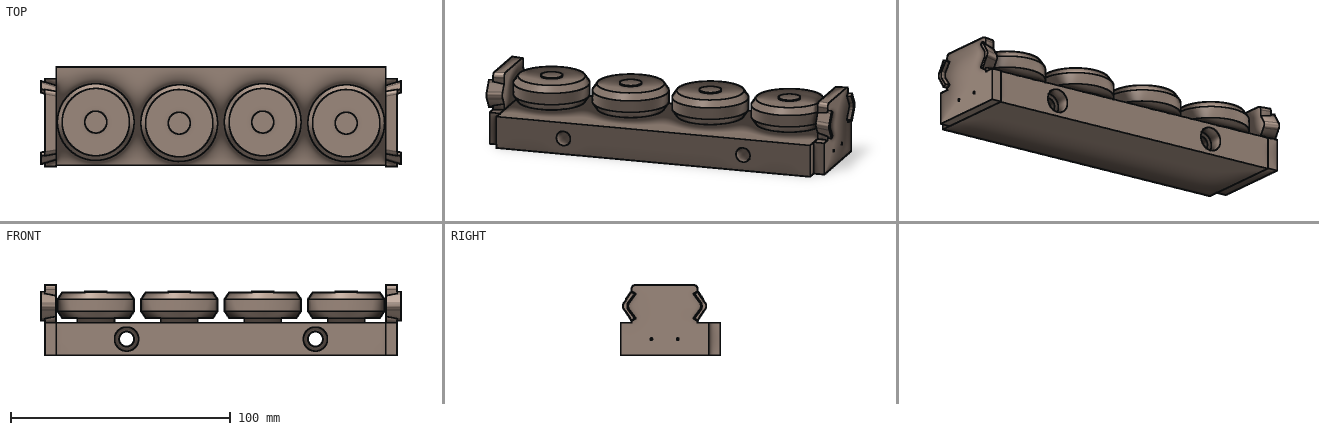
import cadquery as cq
import math

total_length = 164.0
total_height = 32.1

block_length = 150.0
block_height = 15.0
block_front_y = -19.5
block_back_y = 25.5
screw_hole_spacing = 86.0
screw_hole_diameter = 6.7
screw_head_diameter = 11.0
screw_head_depth = 7.0

wheel_count = 4
wheel_row_length = 114.0
wheel_pitch = wheel_row_length / (wheel_count - 1)
wheel_radius = 35.0 / 2
wheel_chamfer = 2.1
wheel_edge_rise = 3.1
wheel_bottom = 17.0
wheel_top = 28.7
hub_radius = 17.0 / 2
axle_radius = 10.0 / 2
axle_top = 29.2
eccentric_offset = 0.25

cap_thickness = 5.1
cap_width = 40.0
tab_half_width = 15.1
tab_corner_radius = 2.0
tab_side_angle = 10.0
pin_hole_diameter = 1.0
pin_hole_spacing = 12.0

lip_mid_height = 22.5
lip_angle = 17.0
lip_outer_apex = (19.0, 0.0)
lip_outer_bend = (18.4, 1.6)
lip_outer_corner = (15.7, 5.5)
lip_peak = (15.3, 6.5)
lip_inner_corner = (13.6, 5.5)
lip_inner_bend = (16.7, 1.5)
lip_inner_apex = (17.0, 0.0)

cap_inner_x = block_length / 2
cap_outer_x = cap_inner_x + cap_thickness
lip_outer_x = total_length / 2
lip_length = lip_outer_x - cap_inner_x


def make_block():
    block = cq.Workplane("XY").box(
        block_length, block_back_y - block_front_y, block_height, centered=(True, False, False)
    ).translate((0, block_front_y, 0))
    return (
        block.faces("<Y").workplane(origin=(0, block_front_y, block_height / 2))
        .rarray(screw_hole_spacing, 1.6, 2, 1)
        .cboreHole(screw_hole_diameter, screw_head_diameter, screw_head_depth)
    )


def make_wheel(x, y):
    """Hub, double-chamfered wheel and axle end, revolved about the vertical axis."""
    profile = [
        (0, block_height),
        (hub_radius, block_height),
        (hub_radius, wheel_bottom),
        (wheel_radius - wheel_chamfer, wheel_bottom),
        (wheel_radius, wheel_bottom + wheel_edge_rise),
        (wheel_radius, wheel_top - wheel_edge_rise),
        (wheel_radius - wheel_chamfer, wheel_top),
        (axle_radius, wheel_top),
        (axle_radius, axle_top),
        (0, axle_top),
    ]
    wheel = cq.Workplane("XZ").polyline(profile).close().revolve(360, (0, 0), (0, 1))
    return wheel.translate((x, y, 0))


def slanted_prism(section, length, side_angle):
    """Extrude a YZ section toward -X while its sides lean toward the middle plane y = 0."""
    direction = cq.Vector(-length, -length * math.tan(math.radians(side_angle)), 0)
    return cq.Workplane(cq.Solid.extrudeLinear(section.wires().val(), [], direction))


def below(point):
    """Mirror image of a lip point across the lip's middle height."""
    return (point[0], -point[1])


def lip_outside(x):
    """Outer line of the lip in the plane at x, from its lower peak to its upper peak."""
    return (
        cq.Workplane("YZ", origin=(x, 0, lip_mid_height))
        .moveTo(*below(lip_peak))
        .lineTo(*below(lip_outer_corner))
        .lineTo(*below(lip_outer_bend))
        .threePointArc(lip_outer_apex, lip_outer_bend)
        .lineTo(*lip_outer_corner)
        .lineTo(*lip_peak)
        .lineTo(*lip_inner_corner)
    )


def make_lip():
    """Bent strip standing out of the cap, filled solid within the cap thickness."""
    strip_section = (
        lip_outside(lip_outer_x)
        .lineTo(*lip_inner_bend)
        .threePointArc(lip_inner_apex, below(lip_inner_bend))
        .lineTo(*below(lip_inner_corner))
        .close()
    )
    strip = slanted_prism(strip_section, lip_length, lip_angle)
    backing_section = lip_outside(lip_outer_x).lineTo(*below(lip_inner_corner)).close()
    backing = slanted_prism(backing_section, lip_length, lip_angle)
    cap_zone = cq.Workplane("XY").box(
        cap_thickness, cap_width, total_height, centered=(False, True, False)
    ).translate((cap_inner_x, 0, 0))
    return strip.union(backing.intersect(cap_zone))


def make_half_tab():
    """Half of the tab, rounded at its upper corner."""
    round_mid = tab_corner_radius * (1 - math.sqrt(0.5))
    section = (
        cq.Workplane("YZ", origin=(cap_outer_x, 0, 0))
        .moveTo(0, block_height)
        .lineTo(tab_half_width, block_height)
        .lineTo(tab_half_width, total_height - tab_corner_radius)
        .threePointArc(
            (tab_half_width - round_mid, total_height - round_mid),
            (tab_half_width - tab_corner_radius, total_height),
        )
        .lineTo(0, total_height)
        .close()
    )
    return slanted_prism(section, cap_thickness, tab_side_angle)


def make_end_cap():
    """End cap for the +X end of the block."""
    base = cq.Workplane("XY").box(
        cap_thickness, cap_width, block_height, centered=(False, True, False)
    ).translate((cap_inner_x, 0, 0))
    half = make_half_tab().union(make_lip())
    pin_holes = (
        cq.Workplane("YZ", origin=(cap_inner_x, 0, block_height / 2))
        .rarray(pin_hole_spacing, 1.6, 2, 1)
        .circle(pin_hole_diameter / 2)
        .extrude(cap_thickness)
    )
    return base.union(half).union(half.mirror("XZ")).cut(pin_holes)


block = make_block()

wheels = []
for index in range(wheel_count):
    wheel_x = index * wheel_pitch - wheel_row_length / 2
    wheel_y = eccentric_offset if index % 2 == 0 else -eccentric_offset
    wheels.append(make_wheel(wheel_x, wheel_y))

right_cap = make_end_cap()
left_cap = right_cap.mirror("YZ")

result = cq.Compound.makeCompound(
    [body.solids().val() for body in [block, *wheels, left_cap, right_cap]]
)